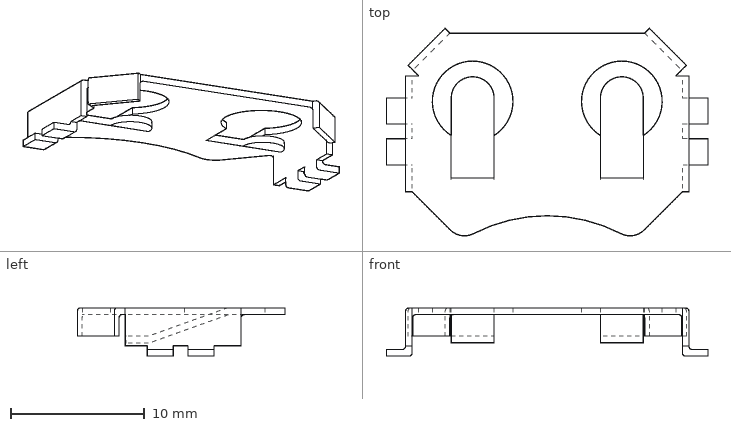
import cadquery as cq
import math


thickness = 0.5
bend_radius = 0.25

overall_width = 24.02
overall_height = 3.6

wall_outer_x = 10.6
wall_inner_x = wall_outer_x - thickness
wall_length = 8.67
wall_drop = 2.83

foot_width = 1.97
foot_centres_y = (1.7, -1.35)
foot_inside_radius = 0.25
foot_heel_radius = 0.25

back_y = 7.52
front_arc_radius = 12.0
front_arc_peak_y = -6.13
front_corner_radius = 1.5
front_diagonal_run = 4.32

flap_drop = 2.11
flap_length = 3.92
flap_middle_x = 9.0
flap_middle_y = 6.5

window_x = 5.57
window_y = 2.43
window_radius = 3.0
arm_width = 3.22
arm_hinge_y = -3.3
arm_fold_y = 2.62
arm_tip_y = 4.28
arm_drop = 2.11
arm_bend_radius = 0.25


def box(x_range, y_range, z_range):
    """Block between the given limits."""
    size = [high - low for low, high in (x_range, y_range, z_range)]
    corner = (x_range[0], y_range[0], z_range[0])
    return cq.Workplane("XY").box(*size, centered=False).translate(corner)


def make_plate():
    """Flat sheet with diagonal corners and a concave front edge."""
    half_wall = wall_length / 2
    half_flap = flap_length / 2 * math.sqrt(0.5)
    flap_back = (flap_middle_x - half_flap, flap_middle_y + half_flap)
    flap_front = (flap_middle_x + half_flap, flap_middle_y - half_flap)
    back_corner = (flap_back[0] - (flap_back[1] - back_y), back_y)
    notch_corner = (flap_front[0] - (flap_front[1] - half_wall), half_wall)
    right_side = [
        back_corner,
        flap_back,
        flap_front,
        notch_corner,
        (wall_outer_x, half_wall),
        (wall_outer_x, -half_wall),
        (wall_inner_x, -half_wall),
        (wall_inner_x - front_diagonal_run, -half_wall - front_diagonal_run),
    ]
    left_side = [(-x, y) for x, y in reversed(right_side)]
    plate = cq.Workplane("XY").polyline(right_side + left_side).close().extrude(-thickness)
    front_scoop = (
        cq.Workplane("XY")
        .center(0, front_arc_peak_y - front_arc_radius)
        .circle(front_arc_radius)
        .extrude(-thickness)
    )
    front_corners = cq.selectors.BoxSelector(
        (-wall_inner_x, -half_wall - front_diagonal_run, -thickness),
        (wall_inner_x, front_arc_peak_y, 0),
    )
    return plate.cut(front_scoop).edges("|Z").edges(front_corners).fillet(front_corner_radius)


def make_wall():
    """Right-hand side wall."""
    return box((wall_inner_x, wall_outer_x), (-wall_length / 2, wall_length / 2), (-wall_drop, 0))


def make_flap():
    """Flap hanging from the right-hand back corner, facing outwards at 45 degrees."""
    flap = box((-thickness, 0), (-flap_length / 2, flap_length / 2), (-flap_drop, 0))
    return flap.rotate((0, 0, 0), (0, 0, 1), 45).translate((flap_middle_x, flap_middle_y, 0))


def make_foot(centre_y):
    """L-shaped solder foot under the right-hand wall, turned outwards."""
    foot_top = thickness - overall_height
    foot_tip_x = overall_width / 2
    return (
        cq.Workplane("XZ", origin=(0, centre_y, 0))
        .moveTo(wall_inner_x, -wall_drop)
        .lineTo(wall_outer_x, -wall_drop)
        .lineTo(wall_outer_x, foot_top + foot_inside_radius)
        .radiusArc((wall_outer_x + foot_inside_radius, foot_top), -foot_inside_radius)
        .lineTo(foot_tip_x, foot_top)
        .lineTo(foot_tip_x, -overall_height)
        .lineTo(wall_inner_x + foot_heel_radius, -overall_height)
        .radiusArc((wall_inner_x, foot_heel_radius - overall_height), foot_heel_radius)
        .close()
        .extrude(foot_width / 2, both=True)
    )


def round_bends(body):
    """Round the inner and outer edges of the wall and flap bends."""
    flap_inner_x = flap_middle_x - thickness * math.sqrt(0.5)
    flap_inner_y = flap_middle_y - thickness * math.sqrt(0.5)
    bend_points = [
        (wall_outer_x, 0, 0),
        (flap_middle_x, flap_middle_y, 0),
        (wall_inner_x, 0, -thickness),
        (flap_inner_x, flap_inner_y, -thickness),
    ]
    for x, y, z in bend_points:
        for side in (-1, 1):
            edge = cq.selectors.NearestToPointSelector((side * x, y, z))
            body = body.edges(edge).fillet(bend_radius)
    return body


def make_window():
    """Cutter for the right-hand round window and the slot the arm is bent out of."""
    window = (
        cq.Workplane("XY").center(window_x, window_y).circle(window_radius).extrude(-thickness)
    )
    half_width = arm_width / 2
    slot = box(
        (window_x - half_width, window_x + half_width), (arm_hinge_y, window_y), (-thickness, 0)
    )
    return window.union(slot)


def make_arm():
    """Right-hand spring arm: root in the plate, downward slope, flat round tip."""
    half_width = arm_width / 2
    slope_angle = math.atan2(arm_drop, arm_fold_y - arm_hinge_y)
    setback = thickness * math.tan(slope_angle / 2)
    root_y = arm_hinge_y - thickness
    profile = [
        (root_y, 0),
        (arm_hinge_y, 0),
        (arm_fold_y, -arm_drop),
        (arm_tip_y, -arm_drop),
        (arm_tip_y, -arm_drop - thickness),
        (arm_fold_y - setback, -arm_drop - thickness),
        (arm_hinge_y - setback, -thickness),
        (root_y, -thickness),
    ]
    bends = cq.selectors.BoxSelector(
        (0, arm_hinge_y - thickness / 2, -overall_height),
        (2 * window_x, arm_fold_y + thickness / 2, thickness),
    )
    strip = (
        cq.Workplane("YZ", origin=(window_x, 0, 0))
        .polyline(profile)
        .close()
        .extrude(half_width, both=True)
        .edges("|X")
        .edges(bends)
        .fillet(arm_bend_radius)
    )
    tip_centre_y = arm_tip_y - half_width
    rounded_outline = (
        cq.Workplane("XY", origin=(window_x, 0, 0))
        .moveTo(-half_width, root_y)
        .lineTo(half_width, root_y)
        .lineTo(half_width, tip_centre_y)
        .threePointArc((0, arm_tip_y), (-half_width, tip_centre_y))
        .close()
        .extrude(-overall_height)
    )
    return strip.intersect(rounded_outline)


def both_sides(shape):
    """The right-hand shape together with its mirror image."""
    return shape.union(shape.mirror("YZ"))


body = make_plate().union(both_sides(make_wall())).union(both_sides(make_flap()))
body = round_bends(body)
for foot_y in foot_centres_y:
    body = body.union(both_sides(make_foot(foot_y)))
body = body.cut(both_sides(make_window()))
result = body.union(both_sides(make_arm()))